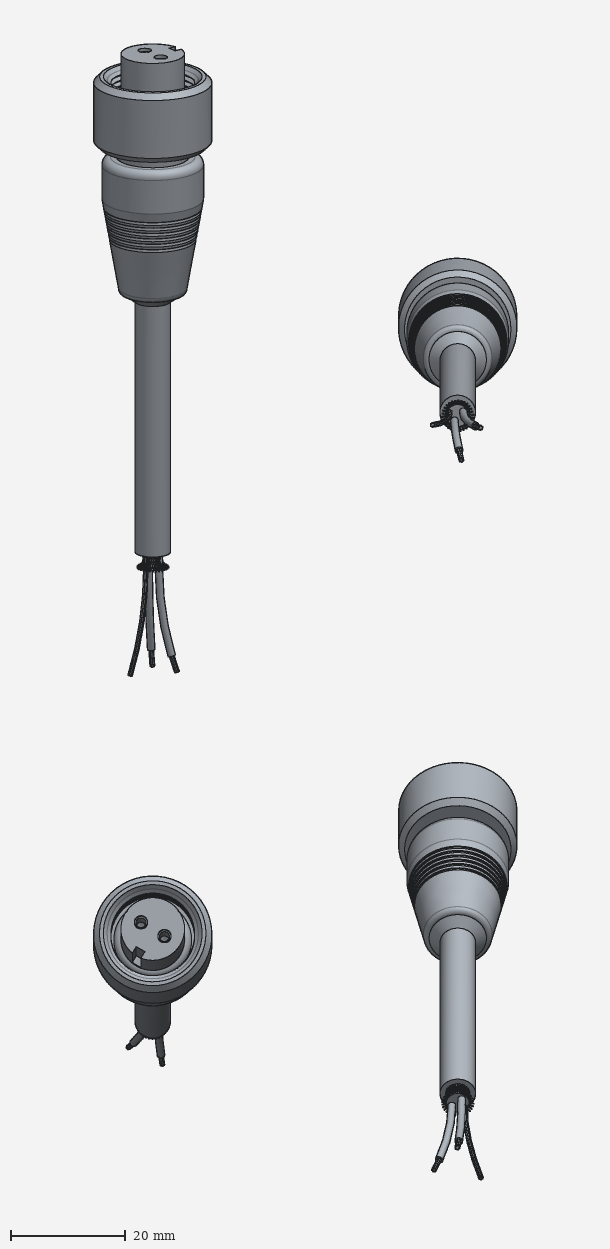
import cadquery as cq
import math

total_length = 113.54
nut_diameter = 20.65

nut_top = -4.2
nut_bottom = -16.9
nut_chamfer = 1.05
nut_mouth_diameter = 17.2
thread_major_diameter = 15.88
thread_minor_diameter = 14.61
thread_pitch = 1.0
thread_count = 5
bore_bottom = -11.0
mouth_depth = (nut_mouth_diameter - thread_major_diameter) / 2

insert_diameter = 11.1
socket_spacing = 4.76
socket_mouth_diameter = 2.29
socket_bore_diameter = 1.73
socket_mouth_depth = 0.6
socket_depth = 5.0
socket_point_angle = 118
keyway_width = 1.73
keyway_floor_offset = 4.15
keyway_depth = 9.0

collar_diameter = 13.6
collar_top = -10.0
collar_land = 0.05
collar_rounding = (collar_diameter - insert_diameter) / 2 - collar_land

neck_diameter = 12.65
grip_diameter = 17.78
grip_top = -18.85
grip_shoulder_radius = 1.5
taper_top = -26.5
groove_band_top = -28.2
taper_bottom = -42.9
taper_end_diameter = 12.0
tail_bottom = -45.3
tail_corner_radius = 1.0
groove_count = 6
groove_pitch = 1.05
groove_depth = 0.2
groove_slope_share = 0.5

cable_diameter = 6.22
cable_bottom = -91.2
shield_top_diameter = 4.14
shield_waist_diameter = 3.35
shield_core_waist_diameter = 2.8
shield_waist_drop = 0.9
shield_skirt_diameter = 3.99
shield_skirt_drop = 2.3
shield_tip_diameter = 5.5
shield_drop = 2.75
braid_strand_diameter = 0.2
braid_strand_count = 30

bend_top = cable_bottom - shield_drop
insulation_diameter = 1.35
insulation_drop = 16.0
conductor_diameter = 0.9
outer_strand_count = 6
strands_across = 3
wire_bend_radius = 58.0
wire_offset = 1.05
wire_y_middle = 0.22
wire_y_stagger = 0.33
wire_bend_angle = 47
right_wire_shortening = 0.5
drain_diameter = 0.85
drain_bend_radius = 55.0
drain_y = -1.5
drain_shortening = 0.4


def cylinder(diameter, top, bottom):
    return cq.Workplane("XY").workplane(offset=bottom).circle(diameter / 2).extrude(top - bottom)


def revolved(half_outline):
    return half_outline.close().revolve(360, (0, 0, 0), (0, 1, 0))


def make_nut():
    nut = cylinder(nut_diameter, nut_top, nut_bottom).edges().chamfer(nut_chamfer)
    minor_radius = thread_minor_diameter / 2
    major_radius = thread_major_diameter / 2
    bore = (
        cq.Workplane("XZ")
        .moveTo(0, nut_top)
        .lineTo(nut_mouth_diameter / 2, nut_top)
        .lineTo(major_radius, nut_top - mouth_depth)
    )
    for turn in range(thread_count):
        root = nut_top - mouth_depth - turn * thread_pitch
        bore = bore.lineTo(minor_radius, root - thread_pitch / 2)
        bore = bore.lineTo(major_radius, root - thread_pitch)
    bore = bore.lineTo(major_radius, bore_bottom).lineTo(0, bore_bottom)
    return nut.cut(revolved(bore))


def make_insert():
    insert = cylinder(insert_diameter, 0, nut_bottom)
    keyway = (
        cq.Workplane("XY")
        .center(0, keyway_floor_offset + insert_diameter / 2)
        .rect(keyway_width, insert_diameter)
        .extrude(-keyway_depth)
    )
    insert = insert.cut(keyway)
    for side in (-1, 1):
        insert = insert.cut(make_socket().translate((side * socket_spacing / 2, 0, 0)))
    return insert


def make_socket():
    bore_radius = socket_bore_diameter / 2
    point_length = bore_radius / math.tan(math.radians(socket_point_angle / 2))
    return revolved(
        cq.Workplane("XZ")
        .lineTo(socket_mouth_diameter / 2, 0)
        .lineTo(socket_mouth_diameter / 2, -socket_mouth_depth)
        .lineTo(bore_radius, -socket_mouth_depth)
        .lineTo(bore_radius, -socket_depth)
        .lineTo(0, -socket_depth - point_length)
    )


def make_collar():
    collar = cylinder(collar_diameter, collar_top, nut_bottom)
    return collar.faces(">Z").edges().fillet(collar_rounding)


def taper_radius(z):
    share = (taper_top - z) / (taper_top - taper_bottom)
    return (grip_diameter + share * (taper_end_diameter - grip_diameter)) / 2


def make_grip():
    outline = (
        cq.Workplane("XZ")
        .moveTo(0, grip_top)
        .lineTo(grip_diameter / 2 - grip_shoulder_radius, grip_top)
        .radiusArc((grip_diameter / 2, grip_top - grip_shoulder_radius), grip_shoulder_radius)
        .lineTo(grip_diameter / 2, taper_top)
        .lineTo(taper_radius(groove_band_top), groove_band_top)
    )
    for groove in range(groove_count):
        groove_top = groove_band_top - groove * groove_pitch
        slope_end = groove_top - groove_slope_share * groove_pitch
        land_end = groove_top - groove_pitch
        outline = (
            outline.lineTo(taper_radius(groove_top) - groove_depth, groove_top)
            .lineTo(taper_radius(slope_end), slope_end)
            .lineTo(taper_radius(land_end), land_end)
        )
    tail_side = taper_end_diameter / 2
    outline = (
        outline.lineTo(tail_side, taper_bottom)
        .radiusArc((tail_side - tail_corner_radius, taper_bottom - tail_corner_radius), tail_corner_radius)
        .lineTo(cable_diameter / 2, tail_bottom)
        .lineTo(0, tail_bottom)
    )
    neck = cylinder(neck_diameter, nut_bottom, grip_top)
    return revolved(outline).union(neck)


def make_shield():
    core = revolved(
        cq.Workplane("XZ")
        .moveTo(0, cable_bottom)
        .lineTo(shield_top_diameter / 2, cable_bottom)
        .lineTo(shield_core_waist_diameter / 2, cable_bottom - shield_waist_drop)
        .lineTo(shield_skirt_diameter / 2, cable_bottom - shield_skirt_drop)
        .lineTo(shield_skirt_diameter / 2, cable_bottom - shield_drop)
        .lineTo(0, cable_bottom - shield_drop)
    )
    strand = make_braid_strand()
    spacing = 360 / braid_strand_count
    strands = [strand.rotate((0, 0, 0), (0, 0, 1), i * spacing).val() for i in range(braid_strand_count)]
    return cq.Workplane(core.val().fuse(*strands))


def make_braid_strand():
    """Loose end of one braid strand, pinched in at the waist and flared out at its tip."""
    start = (shield_top_diameter / 2, cable_bottom)
    path = cq.Workplane("XZ").moveTo(*start).spline(
        [
            (shield_waist_diameter / 2, cable_bottom - shield_waist_drop),
            (shield_skirt_diameter / 2, cable_bottom - shield_skirt_drop),
            (shield_tip_diameter / 2, cable_bottom - shield_drop),
        ],
        includeCurrent=True,
    )
    section = cq.Workplane("XY").workplane(offset=cable_bottom).center(start[0], 0)
    return section.circle(braid_strand_diameter / 2).sweep(path)


def make_wire(diameter, bend_radius, drop, stranded):
    """Wire that leaves the jacket straight down, then bends toward +X over the given drop."""
    turn = math.asin(drop / bend_radius)
    arc_middle = (bend_radius * (1 - math.cos(turn / 2)), bend_top - bend_radius * math.sin(turn / 2))
    arc_end = (bend_radius * (1 - math.cos(turn)), bend_top - drop)
    path = cq.Workplane("XZ").moveTo(0, cable_bottom).lineTo(0, bend_top).threePointArc(arc_middle, arc_end)
    section = stranded_section(diameter) if stranded else wire_plane().circle(diameter / 2)
    return section.sweep(path)


def wire_plane():
    return cq.Workplane("XY").workplane(offset=cable_bottom)


def stranded_section(diameter):
    """Outline of a strand bundle, three strands across, with one round lobe per outer strand."""
    lobe_radius = diameter / 2 / strands_across
    valley_radius = 2 * lobe_radius * math.cos(math.pi / outer_strand_count)
    step = 2 * math.pi / outer_strand_count

    def at(radius, angle):
        return (radius * math.cos(angle), radius * math.sin(angle))

    section = wire_plane().moveTo(*at(valley_radius, -step / 2))
    for lobe in range(outer_strand_count):
        angle = lobe * step
        section = section.threePointArc(at(diameter / 2, angle), at(valley_radius, angle + step / 2))
    return section.close()


def wire_drop(diameter, bend_radius, lowest_point):
    """Drop of the wire axis that puts the lower edge of its square-cut end at the lowest point."""
    depth = bend_top - lowest_point
    radius = diameter / 2
    return depth * bend_radius / (bend_radius + radius)


def place(wire, direction, x, y):
    return wire.rotate((0, 0, 0), (0, 0, 1), direction).translate((x, y, 0))


def make_insulated_wire(lowest_point, direction, x, y):
    drop = wire_drop(conductor_diameter, wire_bend_radius, lowest_point)
    conductor = make_wire(conductor_diameter, wire_bend_radius, drop, stranded=True)
    insulation = make_wire(insulation_diameter, wire_bend_radius, insulation_drop, stranded=False)
    return place(insulation.union(conductor), direction, x, y)


def make_drain_wire():
    drop = wire_drop(drain_diameter, drain_bend_radius, drain_shortening - total_length)
    return place(make_wire(drain_diameter, drain_bend_radius, drop, stranded=True), -90, 0, drain_y)


left_wire = make_insulated_wire(
    -total_length, 180 - wire_bend_angle, -wire_offset, wire_y_middle - wire_y_stagger
)
right_wire = make_insulated_wire(
    right_wire_shortening - total_length, wire_bend_angle, wire_offset, wire_y_middle + wire_y_stagger
)

result = make_nut().union(make_collar()).union(make_insert()).union(make_grip())
result = result.union(cylinder(cable_diameter, tail_bottom, cable_bottom)).union(make_shield())
for wire in (left_wire, right_wire, make_drain_wire()):
    result = result.union(wire)